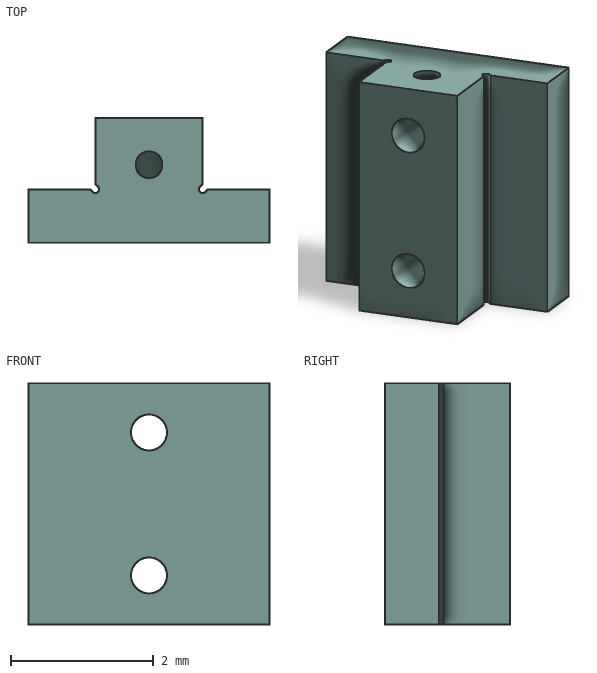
import cadquery as cq
import math

side = 3.38
depth = 1.75
plate_thickness = 0.75
boss_width = 1.5
relief_radius = 0.05
cross_hole_diameter = 0.5
cross_hole_spacing = 2.0
top_hole_diameter = 0.375
top_hole_y = 1.095

plate = cq.Workplane("XY").box(side, plate_thickness, side, centered=(True, False, True))

boss = cq.Workplane("XY").box(boss_width, depth, side, centered=(True, False, True))
body = plate.union(boss)


def corner_relief(direction):
    """Round-bottomed 45 degree groove along the inner corner on one side (-1 or +1)."""
    corner_x = direction * boss_width / 2
    offset = relief_radius / math.sqrt(2)
    return (
        cq.Workplane("XY", origin=(corner_x, plate_thickness, -side / 2))
        .moveTo(-direction * offset, offset)
        .threePointArc((-direction * offset, -offset), (direction * offset, -offset))
        .lineTo(direction * 2 * offset, 0)
        .lineTo(direction * 2 * offset, 2 * offset)
        .lineTo(0, 2 * offset)
        .close()
        .extrude(side)
    )


for direction in (-1, 1):
    body = body.cut(corner_relief(direction))

for hole_z in (-cross_hole_spacing / 2, cross_hole_spacing / 2):
    cross_hole = (
        cq.Workplane("XZ", origin=(0, 0, hole_z))
        .circle(cross_hole_diameter / 2)
        .extrude(-depth)
    )
    body = body.cut(cross_hole)

top_hole = (
    cq.Workplane("XY", origin=(0, top_hole_y, side / 2))
    .circle(top_hole_diameter / 2)
    .extrude(-(side - cross_hole_spacing) / 2)
)
body = body.cut(top_hole)

result = body